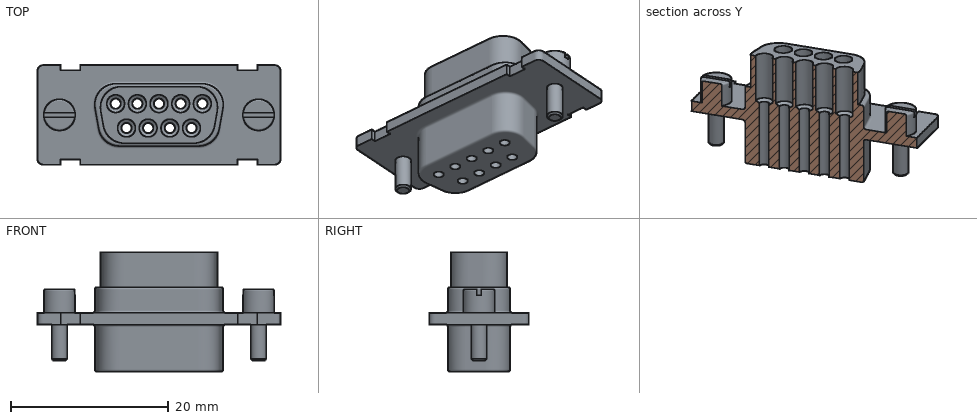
import cadquery as cq
import math

flange_length = 31
flange_width = 12.7
flange_thickness = 1.5
flange_corner_radius = 0.77
notch_length = 2.5
notch_depth = 0.65
notch_center_x = 11.28

side_angle = 10
shell_length = 16.35
shell_width = 7.93
shell_corner_radius = 2.65
shell_top_height = 3.3
shell_bottom_depth = 6.0
shell_fillet = 0.3
insert_length = 14.9
insert_width = 7.2
insert_corner_radius = 2.63
total_height = 15.25

contact_pitch = 2.75
wide_row_count = 5
wide_row_y = 1.43
narrow_row_count = 4
narrow_row_y = -1.67
bore_diameter = 2.25
bore_depth = 6.2
through_diameter = 1.27
seat_angle = 31

screw_spacing = 25.35
head_diameter = 4.0
head_height = 3.05
head_fillet = 0.25
slot_width = 0.55
slot_depth = 0.8
shank_diameter = 2.0
shank_length = 4.6
shank_chamfer = 0.25

shell_bottom_z = -shell_bottom_depth
shell_top_z = flange_thickness + shell_top_height
insert_top_z = shell_bottom_z + total_height


def d_prism(length, width, corner_radius, bottom_z, top_z):
    """Prism with a rounded trapezoid outline, widest towards +Y."""
    center_y = width / 2 - corner_radius
    wide_x = length / 2 - corner_radius
    narrow_x = wide_x - 2 * center_y * math.tan(math.radians(side_angle))
    arc_centers = [(-narrow_x, -center_y), (narrow_x, -center_y), (wide_x, center_y), (-wide_x, center_y)]
    return (
        cq.Workplane("XY", origin=(0, 0, bottom_z))
        .polyline(arc_centers)
        .close()
        .offset2D(corner_radius)
        .extrude(top_z - bottom_z)
    )


def make_flange():
    plate = (
        cq.Workplane("XY")
        .rect(flange_length, flange_width)
        .extrude(flange_thickness)
        .edges("|Z")
        .fillet(flange_corner_radius)
    )
    notches = (
        cq.Workplane("XY")
        .rect(2 * notch_center_x, flange_width, forConstruction=True)
        .vertices()
        .rect(notch_length, 2 * notch_depth)
        .extrude(flange_thickness)
    )
    return plate.cut(notches)


def add_shell(flange):
    shell = d_prism(shell_length, shell_width, shell_corner_radius, shell_bottom_z, shell_top_z)
    shell = shell.faces("<Z or >Z").edges().fillet(shell_fillet)
    body = flange.union(shell)
    margin = 0.03
    around_shell = cq.selectors.BoxSelector(
        (-shell_length / 2 - margin, -shell_width / 2 - margin, -margin),
        (shell_length / 2 + margin, shell_width / 2 + margin, flange_thickness + margin),
        boundingbox=True,
    )
    return body.edges(around_shell).fillet(shell_fillet)


def make_contact_hole():
    """Cutter for one contact hole, revolved about the Z axis."""
    bore_radius = bore_diameter / 2
    through_radius = through_diameter / 2
    bore_bottom_z = insert_top_z - bore_depth
    seat_bottom_z = bore_bottom_z - (bore_radius - through_radius) * math.tan(math.radians(seat_angle))
    return (
        cq.Workplane("XZ")
        .moveTo(0, shell_bottom_z)
        .lineTo(through_radius, shell_bottom_z)
        .lineTo(through_radius, seat_bottom_z)
        .lineTo(bore_radius, bore_bottom_z)
        .lineTo(bore_radius, insert_top_z)
        .lineTo(0, insert_top_z)
        .close()
        .revolve(360, (0, 0), (0, 1))
    )


def cut_contact_holes(body):
    hole = make_contact_hole()
    for count, row_y in ((wide_row_count, wide_row_y), (narrow_row_count, narrow_row_y)):
        for index in range(count):
            hole_x = (index - (count - 1) / 2) * contact_pitch
            body = body.cut(hole.translate((hole_x, row_y, 0)))
    return body


def make_screw():
    head = (
        cq.Workplane("XY", origin=(0, 0, flange_thickness))
        .circle(head_diameter / 2)
        .extrude(head_height)
        .faces(">Z")
        .edges()
        .fillet(head_fillet)
    )
    slot = (
        cq.Workplane("XY", origin=(0, 0, flange_thickness + head_height))
        .rect(head_diameter, slot_width)
        .extrude(-slot_depth)
    )
    shank = (
        cq.Workplane("XY", origin=(0, 0, -shank_length))
        .circle(shank_diameter / 2)
        .extrude(shank_length + flange_thickness)
        .faces("<Z")
        .edges()
        .chamfer(shank_chamfer)
    )
    return head.cut(slot).union(shank)


body = add_shell(make_flange())
body = body.union(
    d_prism(insert_length, insert_width, insert_corner_radius, shell_bottom_z + shell_fillet, insert_top_z)
)
body = cut_contact_holes(body)
for side in (-1, 1):
    body = body.union(make_screw().translate((side * screw_spacing / 2, 0, 0)))

result = body